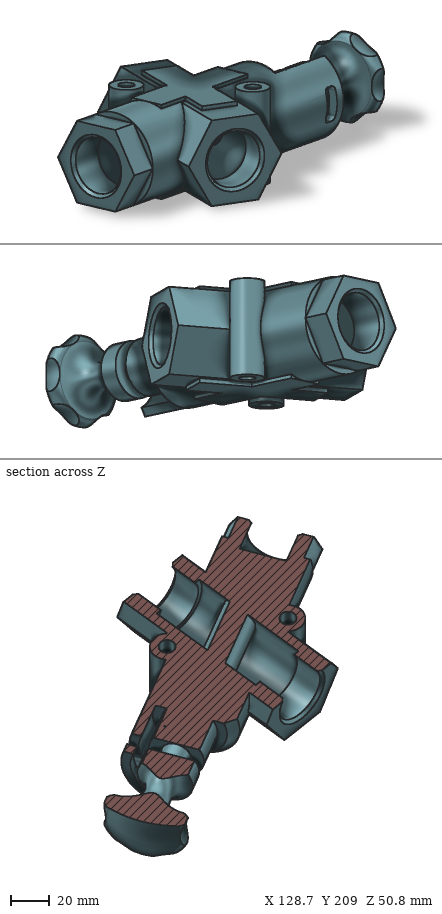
import cadquery as cq
import math

spindle_tilt = 24.5

body_diameter = 50.8
body_radius = body_diameter / 2
body_bottom = -60.8
body_top = 59.1
end_hex_length = 15.0
end_hex_bottom = body_bottom - end_hex_length

pipe_length = 106.2
pipe_corner_diameter = 53.3

port_diameter = 30.0
port_mouth_diameter = 33.6
pipe_port_depth = 18.0
end_port_depth = 20.0
passage_diameter = 35.5

cross_width = 20.0
cross_length = 70.2

sleeve_diameter = 18.0
sleeve_hole_diameter = 8.5
sleeve_x = 15.9
sleeve_y = 28.5

guard_inner_radius = 20.3
guard_top = 94.0
guard_half_angle = 60
body_shoulder = body_top - (body_radius - guard_inner_radius)
guard_slot_centre = 84.9
guard_slot_height = 8.0
guard_slot_width = 18.8
guard_slot_corner_radius = 2.5

rod_diameter = 20.0
rod_half_length = 25.0
stem_radius = 30.0 / 2
neck_radius = 16.0 / 2
stem_top = 80.3
collar_bottom = 87.8
collar_top = 98.2

waist_radius = 7.1
waist_height = 110.0
knob_radius = 24.0
rim_edge_radius = 20.3
rim_bottom = 123.0
rim_top = 133.0
knob_top = 136.5
scallop_count = 6
scallop_radius = 18.8
scallop_floor = 20.3


def turned(profile):
    """Turn a half profile of radius and height about the Y axis."""
    return profile.close().revolve(360, (0, 0, 0), (0, 1, 0))


def cylinder_along_y(radius, bottom, top):
    return cq.Workplane("XZ", origin=(0, bottom, 0)).circle(radius).extrude(bottom - top)


def tilted(shape):
    return shape.rotate((0, 0, 0), (0, 0, 1), spindle_tilt)


def make_body():
    barrel = turned(
        cq.Workplane("XY")
        .moveTo(0, body_bottom)
        .lineTo(body_radius, body_bottom)
        .lineTo(body_radius, body_shoulder)
        .lineTo(guard_inner_radius, body_top)
        .lineTo(0, body_top)
    )
    end_hex = (
        cq.Workplane("XZ", origin=(0, body_bottom, 0)).polygon(6, body_diameter).extrude(end_hex_length)
    )
    return barrel.union(end_hex)


def make_guard():
    """Ring sector centred on +X, with a cross slot through its middle."""
    ring = cylinder_along_y(body_radius, body_shoulder, guard_top).cut(
        cylinder_along_y(guard_inner_radius, body_shoulder, guard_top)
    )
    reach = 2 * body_radius
    half_spread = reach * math.tan(math.radians(guard_half_angle))
    wedge = (
        cq.Workplane("XZ", origin=(0, body_shoulder, 0))
        .polyline([(0, 0), (reach, half_spread), (reach, -half_spread)])
        .close()
        .extrude(body_shoulder - guard_top)
    )
    slot = (
        cq.Workplane("YZ", origin=(0, guard_slot_centre, 0))
        .rect(guard_slot_height, guard_slot_width)
        .extrude(reach)
        .edges("|X")
        .fillet(guard_slot_corner_radius)
    )
    return ring.intersect(wedge).cut(slot)


def make_spindle():
    """Stem, neck, collar and waisted hand knob as one turned piece."""
    dome_shoulder = (rim_edge_radius / 2, knob_top - (knob_top - rim_top) / 4)
    spindle = turned(
        cq.Workplane("XY")
        .moveTo(0, body_top)
        .lineTo(stem_radius, body_top)
        .lineTo(stem_radius, stem_top)
        .lineTo(neck_radius, stem_top)
        .lineTo(neck_radius, collar_bottom)
        .lineTo(stem_radius, collar_bottom)
        .lineTo(stem_radius, collar_top)
        .threePointArc((waist_radius, waist_height), (rim_edge_radius, rim_bottom))
        .threePointArc((knob_radius, (rim_bottom + rim_top) / 2), (rim_edge_radius, rim_top))
        .threePointArc(dome_shoulder, (0, knob_top))
    )
    for i in range(scallop_count):
        scallop = (
            cylinder_along_y(scallop_radius, waist_height, knob_top)
            .translate((scallop_floor + scallop_radius, 0, 0))
            .rotate((0, 0, 0), (0, 1, 0), i * 360 / scallop_count)
        )
        spindle = spindle.cut(scallop)
    return spindle


def make_pipe():
    return (
        cq.Workplane("YZ", origin=(-pipe_length / 2, 0, 0))
        .polygon(6, pipe_corner_diameter)
        .extrude(pipe_length)
    )


def make_cross_bar():
    return cq.Workplane("XY").box(cross_length, cross_width, body_diameter)


def make_port(depth):
    """Chamfered port that opens at the origin and runs along +Y."""
    radius = port_diameter / 2
    mouth_radius = port_mouth_diameter / 2
    mouth_depth = mouth_radius - radius
    return turned(
        cq.Workplane("XY")
        .lineTo(mouth_radius, 0)
        .lineTo(radius, mouth_depth)
        .lineTo(radius, depth)
        .lineTo(0, depth)
    )


def sleeve_posts(diameter):
    return (
        cq.Workplane("XY", origin=(0, 0, -body_radius))
        .pushPoints([(sleeve_x, sleeve_y), (-sleeve_x, -sleeve_y)])
        .circle(diameter / 2)
        .extrude(body_diameter)
    )


result = (
    tilted(make_body().union(make_guard()))
    .union(make_pipe())
    .union(make_cross_bar())
    .union(tilted(make_cross_bar().rotate((0, 0, 0), (0, 0, 1), 90)))
    .union(sleeve_posts(sleeve_diameter))
)

passage_reach = pipe_length / 2 - pipe_port_depth
passage = cylinder_along_y(passage_diameter / 2, -passage_reach, passage_reach)
result = result.cut(passage.rotate((0, 0, 0), (0, 0, 1), 90))
for turn in (-90, 90):
    pipe_port = make_port(pipe_port_depth).translate((0, -pipe_length / 2, 0))
    result = result.cut(pipe_port.rotate((0, 0, 0), (0, 0, 1), turn))
result = result.cut(tilted(make_port(end_port_depth).translate((0, end_hex_bottom, 0))))
result = result.cut(sleeve_posts(sleeve_hole_diameter))

rod = cylinder_along_y(rod_diameter / 2, -rod_half_length, rod_half_length)
result = result.union(tilted(rod.union(make_spindle())))